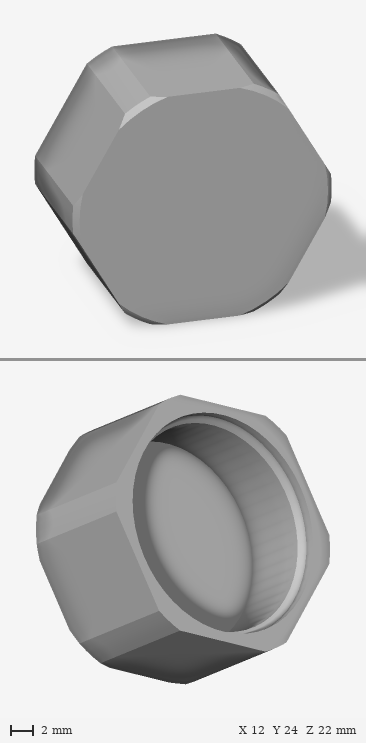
import cadquery as cq
import math

cap_length = 12.0
corner_diameter = 23.98
hexagon_sides = 6
across_flats = 22.0
across_corners = across_flats / math.cos(math.pi / hexagon_sides)
end_chamfer = 0.5

mouth_diameter = 20.2
mouth_depth = 0.95
bore_diameter = 19.1
bore_depth = 8.0
cone_length = (mouth_diameter - bore_diameter) / 2


def hexagonal_prism():
    """Hexagon with corners on the Y axis and flats facing up and down."""
    return (
        cq.Workplane("YZ")
        .polygon(hexagon_sides, across_corners)
        .extrude(cap_length)
    )


def turned_envelope():
    """Solid of revolution that rounds the corners and bevels the closed end."""
    radius = corner_diameter / 2
    return (
        cq.Workplane("XY")
        .polyline([
            (0, 0),
            (0, radius),
            (cap_length - end_chamfer, radius),
            (cap_length, radius - end_chamfer),
            (cap_length, 0),
        ])
        .close()
        .revolve(360, (0, 0, 0), (1, 0, 0))
    )


def cavity():
    """Blind bore with a wider mouth, joined by a conical step."""
    mouth_radius = mouth_diameter / 2
    bore_radius = bore_diameter / 2
    return (
        cq.Workplane("XY")
        .polyline([
            (0, 0),
            (0, mouth_radius),
            (mouth_depth, mouth_radius),
            (mouth_depth + cone_length, bore_radius),
            (bore_depth, bore_radius),
            (bore_depth, 0),
        ])
        .close()
        .revolve(360, (0, 0, 0), (1, 0, 0))
    )


result = hexagonal_prism().intersect(turned_envelope()).cut(cavity())